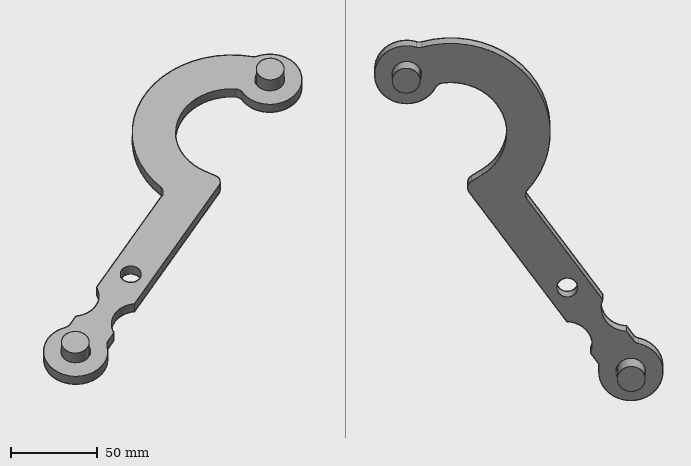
import cadquery as cq
import math

total_length = 267.0
boss_diameter = 37.0
boss_spacing = total_length - boss_diameter
boss_radius = boss_diameter / 2
thickness = 7.5

bar_width = 25.0
half_width = bar_width / 2
hook_inner_radius = 32.3
hook_outer_radius = hook_inner_radius + bar_width
hook_drop = 45.0
hook_center_y = boss_spacing - hook_drop
bar_top_y = hook_center_y - hook_inner_radius
corner_fillet = 5.0

notch_y = 35.0
notch_radius = 15.0
neck_width = 12.5
notch_center_x = neck_width / 2 + notch_radius

bar_hole_y = 65.0
bar_hole_diameter = 12.0
pin_hole_diameter = 17.0
pin_diameter = 16.0
pin_length = 25.0
pin_shift = (pin_hole_diameter - pin_diameter) / 2


def plate_cylinder(diameter, x, y):
    """Disc of the plate thickness centred on (x, y)."""
    return cq.Workplane("XY").center(x, y).circle(diameter / 2).extrude(thickness / 2, both=True)


def fillet_corners(body, corners):
    """Round the upright edge at each (x, y) corner."""
    for x, y in corners:
        body = body.edges(cq.selectors.NearestToPointSelector((x, y, 0))).fillet(corner_fillet)
    return body


def hook_and_bar():
    """Bar running up into a half ring that opens toward +X, with rounded elbow corners."""
    elbow_y = hook_center_y - math.sqrt(hook_outer_radius**2 - half_width**2)
    body = (
        cq.Workplane("XY")
        .moveTo(-half_width, 0)
        .lineTo(half_width, 0)
        .lineTo(half_width, bar_top_y)
        .lineTo(0, bar_top_y)
        .threePointArc((-hook_inner_radius, hook_center_y), (0, hook_center_y + hook_inner_radius))
        .lineTo(0, hook_center_y + hook_outer_radius)
        .threePointArc((-hook_outer_radius, hook_center_y), (-half_width, elbow_y))
        .close()
        .extrude(thickness / 2, both=True)
    )
    return fillet_corners(body, [(half_width, bar_top_y), (-half_width, elbow_y)])


def upper_junction(ring_radius):
    """Left-hand point where a hook circle of the given radius crosses the upper boss circle."""
    height = (hook_drop**2 + ring_radius**2 - boss_radius**2) / (2 * hook_drop)
    return (-math.sqrt(ring_radius**2 - height**2), hook_center_y + height)


def make_lever():
    """Flat lever with a boss at each end, rounded junctions, side notches and through holes."""
    lever = hook_and_bar()
    for boss_y in (0, boss_spacing):
        lever = lever.union(plate_cylinder(boss_diameter, 0, boss_y))
    lower_junction_y = math.sqrt(boss_radius**2 - half_width**2)
    junctions = [
        (-half_width, lower_junction_y),
        (half_width, lower_junction_y),
        upper_junction(hook_inner_radius),
        upper_junction(hook_outer_radius),
    ]
    lever = fillet_corners(lever, junctions)
    for side in (-1, 1):
        lever = lever.cut(plate_cylinder(2 * notch_radius, side * notch_center_x, notch_y))
    for hole_y in (0, boss_spacing):
        lever = lever.cut(plate_cylinder(pin_hole_diameter, 0, hole_y))
    return lever.cut(plate_cylinder(bar_hole_diameter, 0, bar_hole_y))


def make_pin(y):
    """Pin standing out equally on both faces of the lever."""
    return cq.Workplane("XY").center(0, y).circle(pin_diameter / 2).extrude(pin_length / 2, both=True)


lever = make_lever()
pins = [make_pin(y) for y in (-pin_shift, boss_spacing + pin_shift)]

result = cq.Compound.makeCompound([lever.val(), *[pin.val() for pin in pins]])